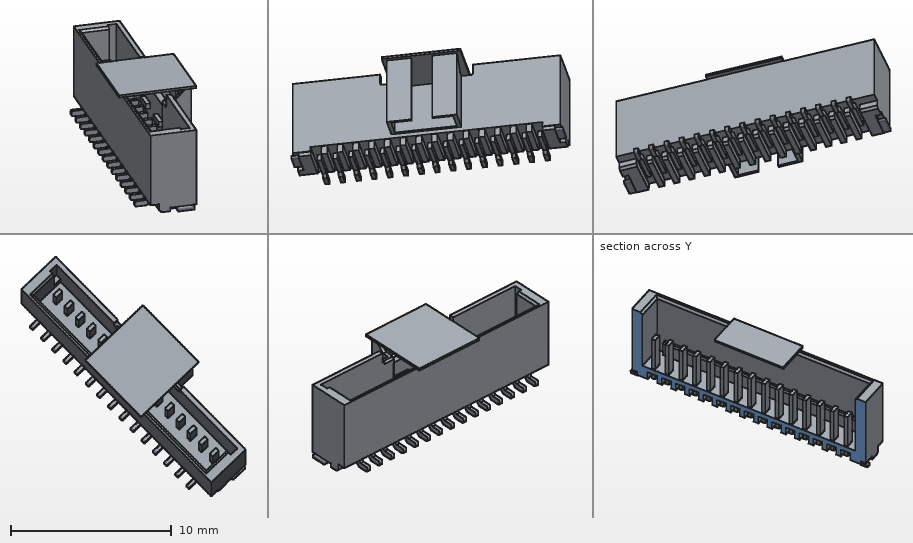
import cadquery as cq


LENGTH = 17.0
DEPTH = 2.98
TOP_Z = 5.4
UNDERSIDE_Z = 0.62

CAVITY_LENGTH = 15.45
CAVITY_FRONT_Y = 0.31
CAVITY_BACK_Y = 2.65
CAVITY_FLOOR_Z = 1.03
MOUTH_CHAMFER = 0.15
CORNER_POCKET_LENGTH = 16.17
CORNER_POCKET_FRONT_Y = 2.09
CORNER_POCKET_FLOOR_Z = 2.0

LEDGE_LENGTH = 14.31
LEDGE_FLAT = 0.15
LEDGE_BEVEL = 0.1
LEDGE_TOP_Z = 2.07

NOTCH_WIDTH = 5.9
NOTCH_FLOOR_Z = 4.64
NOTCH_CHAMFER = 0.14
NOTCH_CORNER_RADIUS = 0.15
LOCK_GAP_WIDTH = 4.0
LOCK_GAP_FLOOR_Z = 4.19
LOCK_RECESS = 0.07
SILL_BACK_Y = 3.17

GUARD_WIDTH = 4.45
GUARD_BACK_Y = 4.48
GUARD_BOTTOM_Z = 0.9
GUARD_SIDE_WALL = 0.25
GUARD_BACK_WALL = 0.15
GUARD_OPENING_WIDTH = 1.31
GUARD_RIM = 0.28
GUARD_SLOPE_RUN = 0.78

CATCH_INNER_X = 0.8
CATCH_FRONT_Y = 2.43
CATCH_TOP_Z = 3.15
CATCH_HEIGHT = 0.35

CONTACT_COUNT = 15
PITCH = 1.0
CONTACT_WIDTH = 0.25
POST_FRONT_Y = 1.45
POST_BACK_Y = 1.98
POST_TOP_Z = 3.45
FOOT_TIP_Y = -0.6
FOOT_THICKNESS = 0.36
SHANK_BOTTOM_Z = 0.2
BEND_TOP_RUN = 0.3
BEND_BOTTOM_RUN = 0.2
BEND_TOP_Y = 0.33
BEND_BOTTOM_Y = 0.38
FOOT_ROUND = 0.1

RIB_BOTTOM_Z = 0.05
RIB_FRONT_Y = 0.57
RIB_BACK_Y = 2.91
RIB_CHAMFER = 0.15
RIB_WIDTH = 0.36
END_RIB_WIDTH = 1.14

TAB_SPAN = 17.24
TAB_FRONT_Y = 1.75
TAB_BACK_Y = 2.86
TAB_THICKNESS = 0.2
TAB_ROUND = 0.05
RELIEF_INNER_X = 8.14
RELIEF_FRONT_Y = 1.3
RELIEF_TOP_Z = 0.31

PLATE_SIDE = 5.0
PLATE_FRONT_Y = -0.28
PLATE_THICKNESS = 0.15


def block(x0, x1, y0, y1, z0, z1):
    """Box between two opposite corners."""
    return cq.Workplane("XY").box(x1 - x0, y1 - y0, z1 - z0, centered=False).translate((x0, y0, z0))


def centred_block(width, y0, y1, z0, z1):
    """Box that is symmetric about X = 0."""
    return block(-width / 2, width / 2, y0, y1, z0, z1)


def side_profile(points, x_centre, width):
    """Prism along X from a closed outline of (y, z) points."""
    prism = cq.Workplane("YZ").polyline(points).close().extrude(width / 2, both=True)
    return prism.translate((x_centre, 0, 0))


def both_ends(shape):
    """A shape together with its mirror image across X = 0."""
    return shape.union(shape.mirror("YZ"))


def make_shell():
    """Box with its cavity, the bevelled mouth and a pocket beside each back corner."""
    shell = centred_block(LENGTH, 0, DEPTH, UNDERSIDE_Z, TOP_Z)
    shell = shell.cut(centred_block(CAVITY_LENGTH, CAVITY_FRONT_Y, CAVITY_BACK_Y, CAVITY_FLOOR_Z, TOP_Z))
    reach = 0.02
    mouth_edges = cq.selectors.BoxSelector(
        (-CAVITY_LENGTH / 2 - reach, CAVITY_FRONT_Y - reach, TOP_Z - reach),
        (CAVITY_LENGTH / 2 + reach, CAVITY_BACK_Y - reach, TOP_Z + reach),
    )
    shell = shell.edges(mouth_edges).chamfer(MOUTH_CHAMFER)
    pockets = centred_block(
        CORNER_POCKET_LENGTH, CORNER_POCKET_FRONT_Y, CAVITY_BACK_Y, CORNER_POCKET_FLOOR_Z, TOP_Z
    )
    return shell.cut(pockets)


def make_ledge():
    """Rib inside the front wall with a bevelled upper edge."""
    back_y = CAVITY_FRONT_Y + LEDGE_FLAT + LEDGE_BEVEL
    outline = [
        (CAVITY_FRONT_Y, CAVITY_FLOOR_Z),
        (back_y, CAVITY_FLOOR_Z),
        (back_y, LEDGE_TOP_Z - LEDGE_BEVEL),
        (back_y - LEDGE_BEVEL, LEDGE_TOP_Z),
        (CAVITY_FRONT_Y, LEDGE_TOP_Z),
    ]
    return side_profile(outline, 0, LEDGE_LENGTH)


def make_lock_opening():
    """Stepped cutter for the back wall, with a bevelled floor and a shallow recess on the cavity side."""
    notch = centred_block(NOTCH_WIDTH, CAVITY_BACK_Y, DEPTH, NOTCH_FLOOR_Z, TOP_Z)
    notch = notch.faces("<Z").edges("|Y").fillet(NOTCH_CORNER_RADIUS)
    bevel_outline = [
        (CAVITY_BACK_Y, NOTCH_FLOOR_Z - NOTCH_CHAMFER),
        (CAVITY_BACK_Y + NOTCH_CHAMFER, NOTCH_FLOOR_Z),
        (CAVITY_BACK_Y, NOTCH_FLOOR_Z),
    ]
    bevel = side_profile(bevel_outline, 0, NOTCH_WIDTH - 2 * NOTCH_CORNER_RADIUS)
    gap = centred_block(LOCK_GAP_WIDTH, CAVITY_BACK_Y, DEPTH, LOCK_GAP_FLOOR_Z, TOP_Z)
    recess_back_y = CAVITY_BACK_Y + LOCK_RECESS
    recess = centred_block(LOCK_GAP_WIDTH, CAVITY_BACK_Y, recess_back_y, CAVITY_FLOOR_Z, TOP_Z)
    return notch.union(bevel).union(gap).union(recess)


def make_guard():
    """Guard behind the back wall, with sloped side walls, an open middle and a sill by the housing."""
    rim_y = GUARD_BACK_Y - GUARD_RIM
    outline = [
        (DEPTH, GUARD_BOTTOM_Z),
        (GUARD_BACK_Y, GUARD_BOTTOM_Z),
        (GUARD_BACK_Y, TOP_Z),
        (rim_y, TOP_Z),
        (rim_y - GUARD_SLOPE_RUN, NOTCH_FLOOR_Z),
        (DEPTH, NOTCH_FLOOR_Z),
    ]
    guard = side_profile(outline, 0, GUARD_WIDTH)
    inner_width = GUARD_WIDTH - 2 * GUARD_SIDE_WALL
    inner_back_y = GUARD_BACK_Y - GUARD_BACK_WALL
    guard = guard.cut(centred_block(inner_width, DEPTH, inner_back_y, GUARD_BOTTOM_Z, TOP_Z))
    guard = guard.union(centred_block(inner_width, DEPTH, SILL_BACK_Y, GUARD_BOTTOM_Z, LOCK_GAP_FLOOR_Z))
    return guard.cut(centred_block(GUARD_OPENING_WIDTH, SILL_BACK_Y, GUARD_BACK_Y, GUARD_BOTTOM_Z, TOP_Z))


def make_catches():
    """Pair of catches on the wall of the lock recess."""
    recess_back_y = CAVITY_BACK_Y + LOCK_RECESS
    outer_x = LOCK_GAP_WIDTH / 2
    bottom_z = CATCH_TOP_Z - CATCH_HEIGHT
    catch = block(CATCH_INNER_X, outer_x, CATCH_FRONT_Y, recess_back_y, bottom_z, CATCH_TOP_Z)
    return both_ends(catch)


def make_contact(x):
    """Post standing in the cavity and the shank that steps down to a solder foot."""
    outline = [
        (POST_BACK_Y, SHANK_BOTTOM_Z),
        (POST_BACK_Y, UNDERSIDE_Z),
        (BEND_TOP_Y, UNDERSIDE_Z),
        (BEND_TOP_Y - BEND_TOP_RUN, FOOT_THICKNESS),
        (FOOT_TIP_Y, FOOT_THICKNESS),
        (FOOT_TIP_Y, 0),
        (BEND_BOTTOM_Y - BEND_BOTTOM_RUN, 0),
        (BEND_BOTTOM_Y, SHANK_BOTTOM_Z),
    ]
    foot = side_profile(outline, x, CONTACT_WIDTH)
    foot = foot.faces("<Y").edges("|X").fillet(FOOT_ROUND)
    post = block(
        x - CONTACT_WIDTH / 2, x + CONTACT_WIDTH / 2, POST_FRONT_Y, POST_BACK_Y, SHANK_BOTTOM_Z, POST_TOP_Z
    )
    return foot.union(post)


def make_rib(x, width):
    """Standoff under the housing with a bevelled front foot."""
    outline = [
        (RIB_FRONT_Y, UNDERSIDE_Z),
        (RIB_FRONT_Y, RIB_BOTTOM_Z + RIB_CHAMFER),
        (RIB_FRONT_Y + RIB_CHAMFER, RIB_BOTTOM_Z),
        (RIB_BACK_Y, RIB_BOTTOM_Z),
        (RIB_BACK_Y, UNDERSIDE_Z),
    ]
    return side_profile(outline, x, width)


def make_end_rib():
    """Wide standoff at the +X end with its relief and the solder tab inside it."""
    rib = make_rib((LENGTH - END_RIB_WIDTH) / 2, END_RIB_WIDTH)
    web = block(
        (LENGTH - 2 * END_RIB_WIDTH) / 2, LENGTH / 2, RELIEF_FRONT_Y, DEPTH, RELIEF_TOP_Z, UNDERSIDE_Z
    )
    relief = block(RELIEF_INNER_X, LENGTH / 2, RELIEF_FRONT_Y, RIB_BACK_Y, RIB_BOTTOM_Z, RELIEF_TOP_Z)
    tab = block(RELIEF_INNER_X, TAB_SPAN / 2, TAB_FRONT_Y, TAB_BACK_Y, 0, TAB_THICKNESS)
    tab = tab.edges("|X or >X").fillet(TAB_ROUND)
    return rib.union(web).cut(relief).union(tab)


def make_housing():
    """Connector housing with its contacts and solder tabs."""
    housing = make_shell().union(make_ledge()).cut(make_lock_opening())
    housing = housing.union(make_guard()).union(make_catches())
    first_x = -PITCH * (CONTACT_COUNT - 1) / 2
    for i in range(CONTACT_COUNT):
        housing = housing.union(make_contact(first_x + i * PITCH))
    for i in range(CONTACT_COUNT - 1):
        housing = housing.union(make_rib(first_x + (i + 0.5) * PITCH, RIB_WIDTH))
    return housing.union(both_ends(make_end_rib()))


def make_pickup_plate():
    """Square plate lying on the housing rim and the lock guard."""
    return centred_block(
        PLATE_SIDE, PLATE_FRONT_Y, PLATE_FRONT_Y + PLATE_SIDE, TOP_Z, TOP_Z + PLATE_THICKNESS
    )


housing = make_housing()
pickup_plate = make_pickup_plate()

result = cq.Compound.makeCompound([housing.val(), pickup_plate.val()])